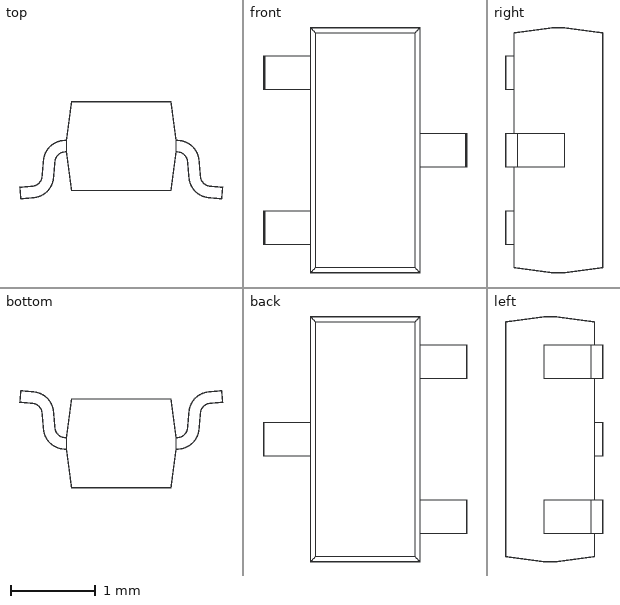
import cadquery as cq
import math

body_width = 1.3
body_height = 2.9
body_depth = 1.053
band_depth = 0.14
face_inset = 0.06

lead_thickness = band_depth
lead_width = 0.4
lead_pitch = 1.833
lead_span = 2.4
stub_length = 0.012
bend_radius = 0.19
leg_length = 0.195
tilt = 5.0


def make_taper(direction):
    """Frustum from the band out to the front (-1) or back (+1) face."""
    return (
        cq.Workplane("XZ", origin=(0, direction * band_depth / 2, 0))
        .rect(body_width, body_height)
        .workplane(offset=-direction * (body_depth - band_depth) / 2)
        .rect(body_width - 2 * face_inset, body_height - 2 * face_inset)
        .loft(ruled=True)
    )


def make_body():
    band = cq.Workplane("XY").box(body_width, band_depth, body_height)
    return band.union(make_taper(-1)).union(make_taper(1))


def point_on_bend(center, angle):
    """Point on the strip's middle line, at an angle in degrees around a bend center."""
    radians = math.radians(angle)
    return (
        center[0] + bend_radius * math.cos(radians),
        center[1] + bend_radius * math.sin(radians),
    )


def make_lead(middle_z):
    """Lead leaving the +X side of the body, centered at height middle_z."""
    lean = math.radians(tilt)

    root = (body_width / 2, 0)
    upper_start = (root[0] + stub_length, 0)
    upper_center = (upper_start[0], -bend_radius)
    upper_middle = point_on_bend(upper_center, (90 + tilt) / 2)
    upper_end = point_on_bend(upper_center, tilt)

    lower_start = (
        upper_end[0] + leg_length * math.sin(lean),
        upper_end[1] - leg_length * math.cos(lean),
    )
    lower_center = (
        lower_start[0] + bend_radius * math.cos(lean),
        lower_start[1] + bend_radius * math.sin(lean),
    )
    foot_angle = 270 - tilt
    lower_middle = point_on_bend(lower_center, (180 + tilt + foot_angle) / 2)
    lower_end = point_on_bend(lower_center, foot_angle)

    toe_x = lead_span / 2 - lead_thickness / 2 * math.sin(lean)
    toe = (toe_x, lower_end[1] - (toe_x - lower_end[0]) * math.tan(lean))

    path = (
        cq.Workplane("XY", origin=(0, 0, middle_z))
        .moveTo(*root)
        .lineTo(*upper_start)
        .threePointArc(upper_middle, upper_end)
        .lineTo(*lower_start)
        .threePointArc(lower_middle, lower_end)
        .lineTo(*toe)
    )
    return (
        cq.Workplane("YZ", origin=(root[0], root[1], middle_z))
        .rect(lead_thickness, lead_width)
        .sweep(path)
    )


body = make_body()

leads = [make_lead(0).val()]
for middle_z in (-lead_pitch / 2, lead_pitch / 2):
    leads.append(make_lead(middle_z).mirror("YZ").val())

result = cq.Compound.makeCompound([body.val(), *leads])